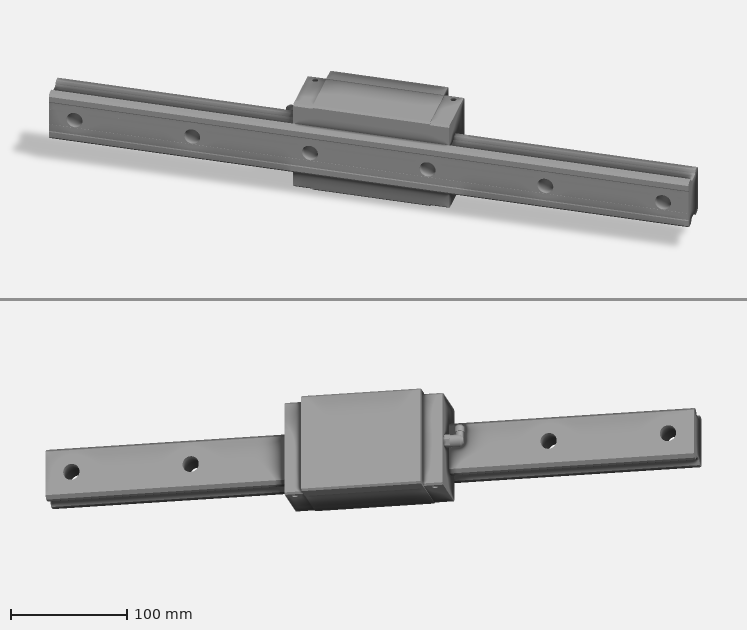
import cadquery as cq


overall_height = 70.0

rail_length = 570.0
rail_bottom = -overall_height / 2
rail_top = -2.0
rail_width = 45.0
rail_half_width = rail_width / 2
rail_top_chamfer_height = 3.7
rail_top_chamfer_depth = 3.0
rail_bottom_chamfer = 2.0

groove_top = -11.5
groove_lip_height = 1.4
groove_lip_depth = 2.55
groove_floor_top = -15.0
groove_floor_bottom = -23.5
groove_bottom = -27.0
groove_depth = 4.0

relief_width = 30.0
relief_depth = 0.45
relief_bevel = 0.85
slot_width = 15.5
slot_depth = 0.15

hole_count = 6
hole_pitch = 105.0
hole_diameter = 14.0

carriage_length = 139.0
block_length = 105.0
carriage_height = 61.5
cap_drop = 11.5
flange_height = 15.5
block_top = overall_height / 2
carriage_bottom = block_top - carriage_height
cap_top = block_top - cap_drop
flange_width = 86.0
block_width = 85.0
cap_width = 83.0
carriage_chamfer = 1.5

side_hole_diameter = 5.0
side_hole_depth = 5.5
side_hole_x = 61.5
side_hole_y = 17.0

nipple_y = 15.0
hex_across_corners = 11.5
hex_length = 5.0
elbow_radius = 5.0
elbow_length = 16.5
elbow_chamfer = 2.0
stem_offset = 13.0
stem_radius = 3.5
head_radius = 4.1
head_bottom = 7.5
head_top = 13.5
head_chamfer = 1.5


def rail_blank():
    """Undrilled rail: one half of the symmetric section, extruded and mirrored."""
    groove_floor_z = rail_half_width - groove_depth
    relief_floor = rail_bottom + relief_depth
    slot_floor = relief_floor + slot_depth
    half_section = (
        cq.Workplane("YZ")
        .moveTo(rail_top, 0)
        .lineTo(rail_top, rail_half_width - rail_top_chamfer_depth)
        .lineTo(rail_top - rail_top_chamfer_height, rail_half_width)
        .lineTo(groove_top, rail_half_width)
        .lineTo(groove_top - groove_lip_height, rail_half_width - groove_lip_depth)
        .lineTo(groove_floor_top, groove_floor_z)
        .lineTo(groove_floor_bottom, groove_floor_z)
        .lineTo(groove_bottom, rail_half_width)
        .lineTo(rail_bottom + rail_bottom_chamfer, rail_half_width)
        .lineTo(rail_bottom, rail_half_width - rail_bottom_chamfer)
        .lineTo(rail_bottom, relief_width / 2)
        .lineTo(relief_floor, relief_width / 2 - relief_bevel)
        .lineTo(relief_floor, slot_width / 2)
        .lineTo(slot_floor, slot_width / 2)
        .lineTo(slot_floor, 0)
        .close()
    )
    half = half_section.extrude(rail_length / 2, both=True)
    return half.union(half.mirror("XY")).clean()


def rail_holes():
    """Cutters for the row of mounting holes, centred along the rail."""
    first_x = -hole_pitch * (hole_count - 1) / 2
    return (
        cq.Workplane("XZ", origin=(0, rail_top, 0))
        .pushPoints([(first_x + i * hole_pitch, 0) for i in range(hole_count)])
        .circle(hole_diameter / 2)
        .extrude(rail_top - rail_bottom)
    )


def carriage_slab(length, width, bottom, top):
    """Box along the rail with its four long edges chamfered."""
    return (
        cq.Workplane("XY")
        .box(length, top - bottom, width)
        .translate((0, (top + bottom) / 2, 0))
        .edges("|X")
        .chamfer(carriage_chamfer)
    )


def carriage_blank():
    """End caps, block and the slightly wider flange at its top, as one solid without cuts."""
    caps = carriage_slab(carriage_length, cap_width, carriage_bottom, cap_top)
    block = carriage_slab(block_length, block_width, carriage_bottom, block_top)
    flange = (
        cq.Workplane("XY")
        .box(block_length, flange_height, flange_width)
        .translate((0, block_top - flange_height / 2, 0))
        .edges("|X and >Y")
        .chamfer(carriage_chamfer)
    )
    return caps.union(block).union(flange).clean()


def side_holes():
    """Cutters for the holes: each pair enters one side of the carriage."""
    centers = [(-side_hole_x, side_hole_y), (side_hole_x, side_hole_y)]
    upper = (
        cq.Workplane("XY", origin=(0, 0, cap_width / 2))
        .pushPoints(centers)
        .circle(side_hole_diameter / 2)
        .extrude(-side_hole_depth)
    )
    return upper.union(upper.mirror("XY"))


def nipple_body():
    """Grease nipple standing on the end face of the carriage at -X."""
    cap_face = cq.Workplane("YZ", origin=(-carriage_length / 2, nipple_y, 0))
    hexagon = cap_face.polygon(6, hex_across_corners).extrude(-hex_length)
    elbow = (
        cap_face.workplane(offset=-hex_length)
        .circle(elbow_radius)
        .extrude(hex_length - elbow_length)
        .faces("<X")
        .chamfer(elbow_chamfer)
    )
    stem_axis = cq.Workplane("XY", origin=(-carriage_length / 2 - stem_offset, nipple_y, 0))
    stem = stem_axis.circle(stem_radius).extrude(head_bottom)
    head = (
        stem_axis.workplane(offset=head_bottom)
        .circle(head_radius)
        .extrude(head_top - head_bottom)
        .faces(">Z")
        .chamfer(head_chamfer)
    )
    return hexagon.union(elbow).union(stem).union(head)


undrilled_rail = rail_blank()
rail = undrilled_rail.cut(rail_holes())
carriage = carriage_blank().cut(undrilled_rail).cut(side_holes())
nipple = nipple_body()

result = cq.Compound.makeCompound([rail.val(), carriage.val(), nipple.val()])